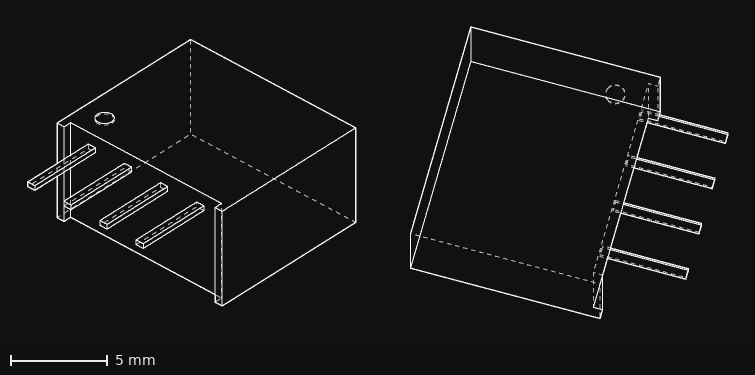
import cadquery as cq

housing_width = 11.605
housing_height = 5.99
overall_length = 14.26
pin_reach = 4.105
housing_length = overall_length - pin_reach
rail_width = 0.5
rail_depth = 0.5

pin_count = 4
pin_pitch = 2.54
pin_width = 0.5
pin_thickness = 0.3
pin_center_drop = 0.9
pin_row_offset = -0.005
pin_length = pin_reach + rail_depth

marker_diameter = 1.0
marker_thickness = 0.1
marker_inset_x = 1.5
marker_inset_y = 1.5

left_x = -housing_width / 2
top_z = housing_height / 2
front_face_y = rail_depth


def make_block():
    """Block with the front recess between the two rails."""
    block = cq.Workplane("XY").box(housing_width, housing_length, housing_height, centered=(True, False, True))
    recess_width = housing_width - 2 * rail_width
    recess = cq.Workplane("XY").box(recess_width, rail_depth, housing_height, centered=(True, False, True))
    return block.cut(recess)


def make_pin(center_x):
    """One pin reaching from the front face towards -Y."""
    pin = cq.Workplane("XY").box(pin_width, pin_length, pin_thickness, centered=(True, False, True))
    return pin.translate((center_x, front_face_y - pin_length, top_z - pin_center_drop))


def make_marker():
    """Disc whose upper face is level with the top of the housing."""
    disc = cq.Workplane("XY").circle(marker_diameter / 2).extrude(-marker_thickness)
    return disc.translate((left_x + marker_inset_x, front_face_y + marker_inset_y, top_z))


marker = make_marker()

housing = make_block().cut(marker)
first_pin_x = pin_row_offset - (pin_count - 1) * pin_pitch / 2
for index in range(pin_count):
    housing = housing.union(make_pin(first_pin_x + index * pin_pitch))

result = cq.Compound.makeCompound([housing.solids().val(), marker.val()])